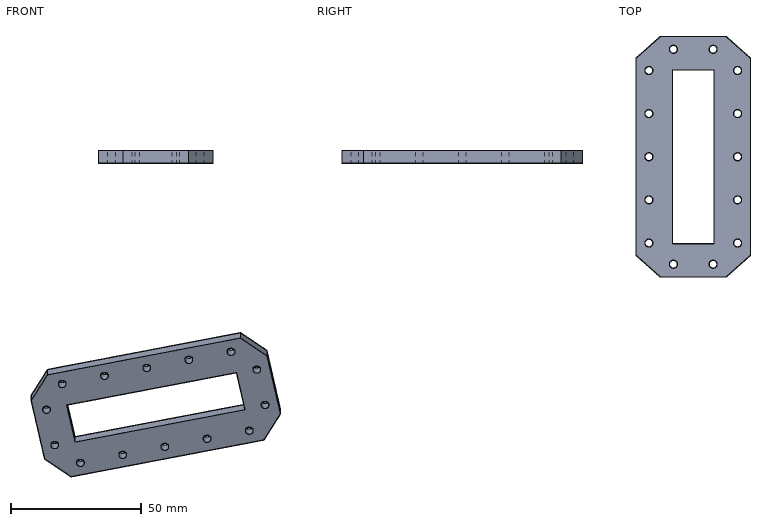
import cadquery as cq

width = 44.0
length = 92.4
thickness = 5.0
corner_cut_x = 9.4
corner_cut_y = 8.4

window_width = 15.9
window_length = 66.5

hole_diameter = 3.0
side_hole_spacing = 34.0
side_hole_pitch = 16.5
side_hole_count = 5
end_hole_spacing_x = 15.2
end_hole_spacing_y = 82.4


def make_plate():
    """Rectangular plate with its four corners cut off at an angle."""
    half_width = width / 2
    half_length = length / 2
    flat_x = half_width - corner_cut_x
    flat_y = half_length - corner_cut_y
    outline = [
        (flat_x, half_length),
        (half_width, flat_y),
        (half_width, -flat_y),
        (flat_x, -half_length),
        (-flat_x, -half_length),
        (-half_width, -flat_y),
        (-half_width, flat_y),
        (-flat_x, half_length),
    ]
    return cq.Workplane("XY").polyline(outline).close().extrude(thickness)


def cut_window(plate):
    return plate.faces(">Z").workplane(origin=(0, 0, 0)).rect(window_width, window_length).cutThruAll()


def drill_grid(plate, spacing_x, spacing_y, count_y):
    """Drill two centred columns of through holes."""
    return (
        plate.faces(">Z")
        .workplane(origin=(0, 0, 0))
        .rarray(spacing_x, spacing_y, 2, count_y)
        .hole(hole_diameter)
    )


result = cut_window(make_plate())
result = drill_grid(result, side_hole_spacing, side_hole_pitch, side_hole_count)
result = drill_grid(result, end_hole_spacing_x, end_hole_spacing_y, 2)